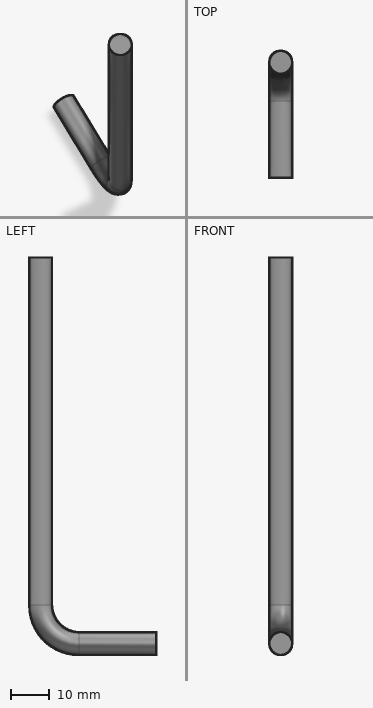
import cadquery as cq
import math

overall_height = 103.0
overall_depth = 33.0
rod_diameter = 6.0
bend_radius = 10.0

rod_radius = rod_diameter / 2
long_leg = overall_height - bend_radius - rod_radius
short_leg = overall_depth - bend_radius - rod_radius

bend_top = bend_radius
rod_top = bend_top + long_leg
bend_mid_offset = bend_radius * (1 - math.sin(math.pi / 4))

centreline = (
    cq.Workplane("YZ")
    .moveTo(0, rod_top)
    .lineTo(0, bend_top)
    .threePointArc((-bend_mid_offset, bend_mid_offset), (-bend_radius, 0))
    .lineTo(-bend_radius - short_leg, 0)
)

result = (
    cq.Workplane("XY", origin=(0, 0, rod_top))
    .circle(rod_radius)
    .sweep(centreline)
)